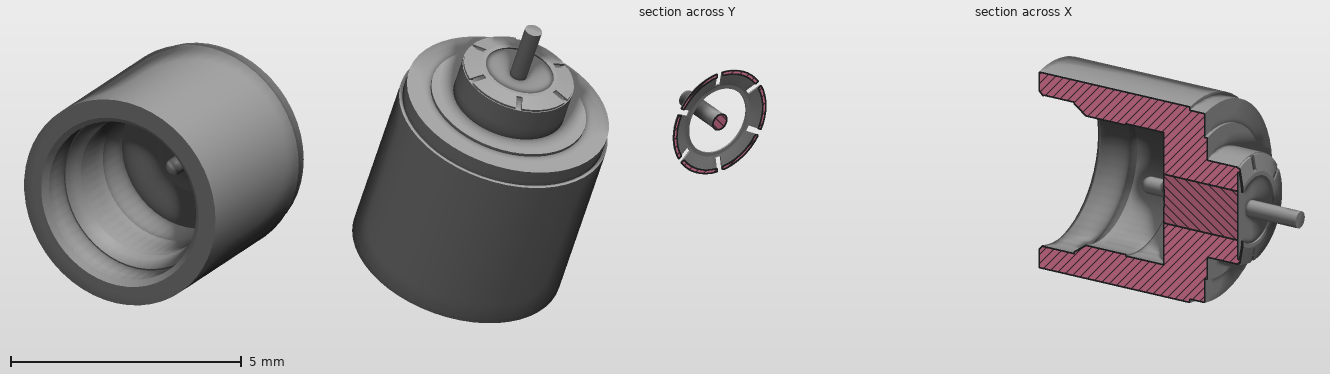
import cadquery as cq
import math


barrel_radius = 2.35
barrel_end = 3.86
flange_radius = 2.275
flange_end = 4.235
step_radius = 1.74
step_end = 4.305
collar_radius = 1.25
collar_end = 5.08

mouth_radius = 1.93
lip_radius = 1.81
lip_depth = 0.12
groove_radius = 1.84
groove_end = 0.895
socket_radius = 1.595
taper_end = 1.205
relief_radius = 1.625
relief_start = 2.22
socket_depth = 3.175

rim_radius = 1.23
rim_wall = 0.095
rim_shoulder = 5.13
rim_end = 5.21
rim_flat_radius = 0.85
rim_opening_radius = 0.76
rim_lip_thickness = 0.04
slot_count = 6
slot_width = 0.135
slot_inner_radius = 0.9

bead_radius = 0.76
bead_dish = 0.01
pin_radius = 0.19
pin_tip = 2.35
pin_end = 6.35


def revolve_about_y(profile):
    return profile.close().revolve(360, (0, 0, 0), (0, 1, 0))


def make_outer_body():
    profile = (
        cq.Workplane("XY")
        .moveTo(0, 0)
        .lineTo(barrel_radius, 0)
        .lineTo(barrel_radius, barrel_end)
        .lineTo(flange_radius, barrel_end)
        .lineTo(flange_radius, flange_end)
        .lineTo(step_radius, flange_end)
        .lineTo(step_radius, step_end)
        .lineTo(collar_radius, step_end)
        .lineTo(collar_radius, collar_end)
        .lineTo(0, collar_end)
    )
    return revolve_about_y(profile)


def make_socket_cavity():
    profile = (
        cq.Workplane("XY")
        .moveTo(0, 0)
        .lineTo(mouth_radius, 0)
        .lineTo(lip_radius, lip_depth)
        .lineTo(groove_radius, lip_depth)
        .lineTo(groove_radius, groove_end)
        .lineTo(lip_radius, groove_end)
        .lineTo(socket_radius, taper_end)
        .lineTo(socket_radius, relief_start)
        .lineTo(relief_radius, relief_start)
        .lineTo(relief_radius, socket_depth)
        .lineTo(0, socket_depth)
    )
    return revolve_about_y(profile)


def make_rim():
    """Thin ring with a conical inward lip, pierced by radial slots."""
    inner_radius = rim_radius - rim_wall
    lip_slope = (rim_end - rim_shoulder) / (rim_radius - rim_flat_radius)
    underside_shoulder = rim_shoulder + rim_wall * lip_slope - rim_lip_thickness
    profile = (
        cq.Workplane("XY")
        .moveTo(inner_radius, collar_end)
        .lineTo(rim_radius, collar_end)
        .lineTo(rim_radius, rim_shoulder)
        .lineTo(rim_flat_radius, rim_end)
        .lineTo(rim_opening_radius, rim_end)
        .lineTo(rim_opening_radius, rim_end - rim_lip_thickness)
        .lineTo(rim_flat_radius, rim_end - rim_lip_thickness)
        .lineTo(inner_radius, underside_shoulder)
    )
    rim = revolve_about_y(profile)
    slot = cq.Workplane("XY").box(
        slot_width, rim_end - collar_end, rim_radius, centered=(True, False, False)
    ).translate((0, collar_end, slot_inner_radius))
    for index in range(slot_count):
        rim = rim.cut(slot.rotate((0, 0, 0), (0, 1, 0), index * 360 / slot_count))
    return rim


def make_feedthrough():
    """Bead with a dished front face, and a pin with a hemispherical tip."""
    tip_center = pin_tip + pin_radius
    tip_offset = pin_radius * math.sqrt(0.5)
    dish_middle = (pin_radius + bead_radius) / 2
    profile = (
        cq.Workplane("XY")
        .moveTo(0, pin_tip)
        .threePointArc((tip_offset, tip_center - tip_offset), (pin_radius, tip_center))
        .lineTo(pin_radius, socket_depth)
        .threePointArc((dish_middle, socket_depth + bead_dish), (bead_radius, socket_depth))
        .lineTo(bead_radius, collar_end)
        .lineTo(pin_radius, collar_end)
        .lineTo(pin_radius, pin_end)
        .lineTo(0, pin_end)
    )
    return revolve_about_y(profile)


feedthrough = make_feedthrough()
housing = make_outer_body().union(make_rim()).cut(make_socket_cavity()).cut(feedthrough)

bore = (
    cq.Workplane("XZ", origin=(0, socket_depth, 0))
    .circle(bead_radius)
    .extrude(socket_depth - collar_end)
)
housing = housing.cut(bore)

result = cq.Compound.makeCompound([housing.solids().val(), feedthrough.val()])